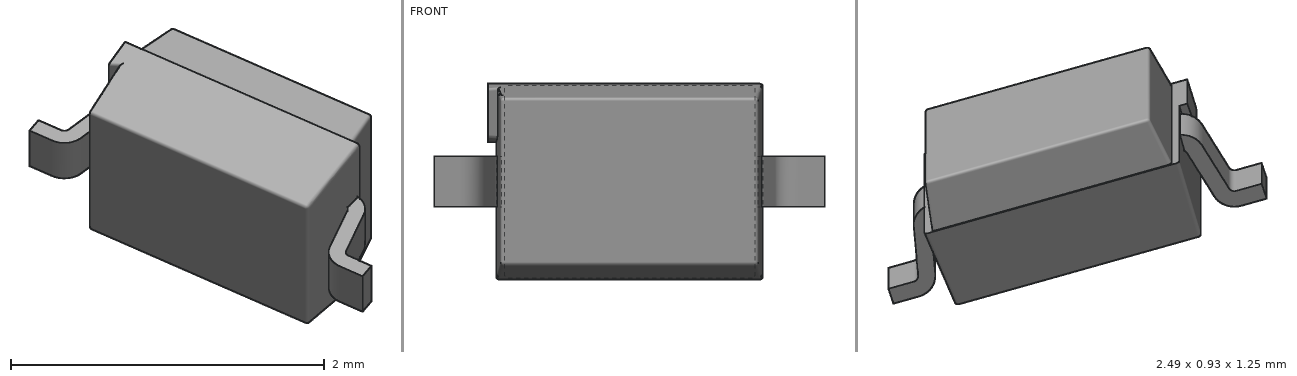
import cadquery as cq
import math


FRONT_LENGTH = 1.7
FRONT_HEIGHT = 1.25
FRONT_DEPTH = 0.58
FRONT_END_DRAFT = 3
FRONT_SIDE_DRAFT = 9
REAR_LENGTH = 1.595
REAR_HEIGHT = 1.228
REAR_DEPTH = 0.32
REAR_DRAFT = 9
EDGE_RADIUS = 0.022

TAB_PROTRUSION = 0.052
TAB_OVERLAP = 0.04
TAB_HEIGHT = 0.375
TAB_DEPTH = 0.202
TAB_UNDERCUT = 25
TAB_RADIUS = 0.02

LEAD_SPAN = 2.49
LEAD_WIDTH = 0.324
LEAD_THICKNESS = 0.11
LEAD_INNER_RADIUS = 0.04
LEAD_OUTER_RADIUS = LEAD_INNER_RADIUS + LEAD_THICKNESS
LEAD_ANGLE = 77.5
FOOT_LENGTH = 0.17
FOOT_STANDOFF = 0.027
LEAD_TOP_GAP = 0.015


def inset(depth, draft):
    """How far a drafted face leans inwards over a depth."""
    return depth * math.tan(math.radians(draft))


def make_half(length, height, depth, end_draft, side_draft, direction):
    """Tapered block that grows from y = 0; direction is -1 for front, +1 for rear."""
    outer_length = length - 2 * inset(depth, end_draft)
    outer_height = height - 2 * inset(depth, side_draft)
    block = (
        cq.Workplane("XZ")
        .rect(length, height)
        .workplane(offset=-direction * depth)
        .rect(outer_length, outer_height)
        .loft(ruled=True, combine=True)
    )
    parting_face = ">Y" if direction < 0 else "<Y"
    return block.edges(f"not({parting_face})").fillet(EDGE_RADIUS)


def make_tab():
    """Mark tab: its top is flush with the package, its front face is undercut."""
    outer_x = -FRONT_LENGTH / 2 - TAB_PROTRUSION
    length = TAB_PROTRUSION + TAB_OVERLAP
    top_z = FRONT_HEIGHT / 2
    bottom_z = top_z - TAB_HEIGHT
    lean = inset(TAB_DEPTH, FRONT_SIDE_DRAFT)
    side_prism = (
        cq.Workplane("YZ", origin=(outer_x, 0, 0))
        .polyline([
            (0, top_z),
            (-TAB_DEPTH, top_z - lean),
            (-TAB_DEPTH, bottom_z + lean),
            (0, bottom_z),
        ])
        .close()
        .extrude(length)
    )
    undercut_prism = (
        cq.Workplane("XY", origin=(outer_x, 0, bottom_z))
        .polyline([
            (0, 0),
            (0, -TAB_DEPTH),
            (length, -TAB_DEPTH + inset(length, TAB_UNDERCUT)),
            (length, 0),
        ])
        .close()
        .extrude(TAB_HEIGHT)
    )
    tab = side_prism.intersect(undercut_prism)
    return tab.faces("<Y").edges(">Z or <Z").fillet(TAB_RADIUS)


def make_lead(side):
    """Bent strip at one end; side is -1 for the -X end, +1 for the +X end."""
    angle = math.radians(LEAD_ANGLE)
    foot_y = -FRONT_DEPTH - FOOT_STANDOFF
    top_y = -LEAD_TOP_GAP
    tip_x = -LEAD_SPAN / 2
    bend_rise = (LEAD_INNER_RADIUS + LEAD_OUTER_RADIUS) * (1 - math.cos(angle))
    leg_rise = top_y - foot_y - LEAD_THICKNESS - bend_rise
    bend_run = (LEAD_INNER_RADIUS + LEAD_OUTER_RADIUS) * math.sin(angle)
    lower_x = tip_x + FOOT_LENGTH
    lower_y = foot_y + LEAD_OUTER_RADIUS
    upper_x = lower_x + bend_run + leg_rise / math.tan(angle)
    upper_y = top_y - LEAD_OUTER_RADIUS

    def lower(radius, turn):
        """Point on the bend next to the foot, turned from the flat of the foot."""
        return (lower_x + radius * math.sin(turn), lower_y - radius * math.cos(turn))

    def upper(radius, turn):
        """Point on the bend at the package, turned from its flat end."""
        return (upper_x - radius * math.sin(turn), upper_y + radius * math.cos(turn))

    outline = (
        cq.Workplane("XY", origin=(0, 0, -LEAD_WIDTH / 2))
        .moveTo(tip_x, foot_y)
        .lineTo(*lower(LEAD_OUTER_RADIUS, 0))
        .threePointArc(lower(LEAD_OUTER_RADIUS, angle / 2), lower(LEAD_OUTER_RADIUS, angle))
        .lineTo(*upper(LEAD_INNER_RADIUS, angle))
        .threePointArc(upper(LEAD_INNER_RADIUS, angle / 2), upper(LEAD_INNER_RADIUS, 0))
        .lineTo(*upper(LEAD_OUTER_RADIUS, 0))
        .threePointArc(upper(LEAD_OUTER_RADIUS, angle / 2), upper(LEAD_OUTER_RADIUS, angle))
        .lineTo(*lower(LEAD_INNER_RADIUS, angle))
        .threePointArc(lower(LEAD_INNER_RADIUS, angle / 2), lower(LEAD_INNER_RADIUS, 0))
        .lineTo(tip_x, foot_y + LEAD_THICKNESS)
        .close()
    )
    lead = outline.extrude(LEAD_WIDTH)
    return lead if side < 0 else lead.mirror("YZ")


leads = [make_lead(side) for side in (-1, 1)]

rear_half = make_half(REAR_LENGTH, REAR_HEIGHT, REAR_DEPTH, REAR_DRAFT, REAR_DRAFT, 1)

front_half = make_half(
    FRONT_LENGTH, FRONT_HEIGHT, FRONT_DEPTH, FRONT_END_DRAFT, FRONT_SIDE_DRAFT, -1
).union(make_tab())
for lead in leads:
    front_half = front_half.cut(lead)

result = cq.Compound.makeCompound(
    [front_half.solids().val(), rear_half.val(), *[lead.val() for lead in leads]]
)